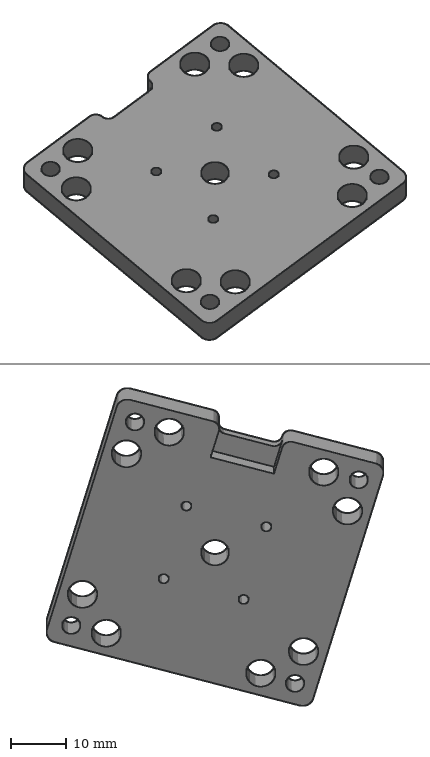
import cadquery as cq

side = 50.0
thickness = 5.0
corner_radius = 2.0

notch_width = 11.9
notch_depth = 3.1
mouth_radius = 1.6
notch_inner_radius = notch_depth - mouth_radius

lip_thickness = 2.0
pocket_depth = 7.0

center_diameter = 5.0
inner_diameter = 1.8
inner_offset = 7.5
corner_diameter = 3.3
corner_offset = 21.0
large_diameter = 5.3
large_near_offset = 14.5
large_far_offset = 20.75


def plate():
    return (
        cq.Workplane("XY")
        .rect(side, side)
        .extrude(thickness)
        .edges("|Z")
        .fillet(corner_radius)
    )


def edge_notch():
    """Notch with a flared mouth and rounded inner corners."""
    face_x = -side / 2
    floor_x = face_x + notch_depth
    throat_x = face_x + mouth_radius
    half_width = notch_width / 2
    mouth_half = half_width + mouth_radius
    floor_half = half_width - notch_inner_radius
    return (
        cq.Workplane("XY")
        .moveTo(face_x, -mouth_half)
        .radiusArc((throat_x, -half_width), mouth_radius)
        .radiusArc((floor_x, -floor_half), -notch_inner_radius)
        .lineTo(floor_x, floor_half)
        .radiusArc((throat_x, half_width), -notch_inner_radius)
        .radiusArc((face_x, mouth_half), mouth_radius)
        .close()
        .extrude(thickness)
    )


def under_pocket():
    """Straight-sided pocket, open at the bottom and into the notch."""
    start_x = -side / 2 + mouth_radius
    return cq.Workplane("XY").box(
        pocket_depth - mouth_radius,
        notch_width,
        thickness - lip_thickness,
        centered=(False, True, False),
    ).translate((start_x, 0, 0))


def mirrored_holes(diameter, x, y):
    """Four through holes, mirrored about both axes."""
    points = [(sx * x, sy * y) for sx in (-1, 1) for sy in (-1, 1)]
    return cq.Workplane("XY").pushPoints(points).circle(diameter / 2).extrude(thickness)


center_hole = cq.Workplane("XY").circle(center_diameter / 2).extrude(thickness)

result = (
    plate()
    .cut(edge_notch())
    .cut(under_pocket())
    .cut(center_hole)
    .cut(mirrored_holes(inner_diameter, inner_offset, inner_offset))
    .cut(mirrored_holes(corner_diameter, corner_offset, corner_offset))
    .cut(mirrored_holes(large_diameter, large_near_offset, large_far_offset))
    .cut(mirrored_holes(large_diameter, large_far_offset, large_near_offset))
)